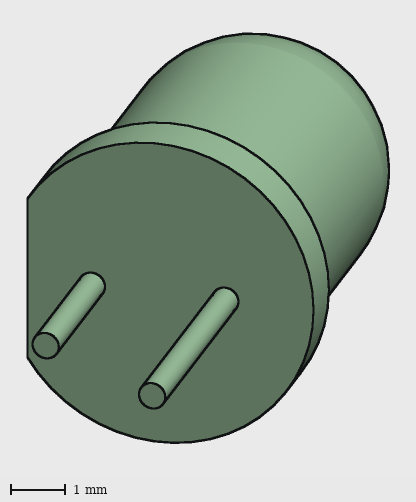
import cadquery as cq


BODY_RADIUS = 2.5
BODY_LENGTH = 5.1

FLANGE_RADIUS = 2.95
FLANGE_THICKNESS = 1.0
FLAT_X = -BODY_RADIUS

LEAD_PITCH = 2.54
LEAD_RADIUS = 0.25
SHORT_LEAD_LENGTH = 3.0
LONG_LEAD_LENGTH = 4.75


def make_lens():
    """Revolve the domed half profile about the Y axis."""
    dome_base = FLANGE_THICKNESS + BODY_LENGTH
    dome_tip = dome_base + BODY_RADIUS
    return (
        cq.Workplane("XY")
        .lineTo(BODY_RADIUS, 0)
        .lineTo(BODY_RADIUS, dome_base)
        .radiusArc((0, dome_tip), -BODY_RADIUS)
        .close()
        .revolve(360, (0, 0), (0, 1))
    )


def make_flange():
    """Disc cut straight along its -X side."""
    disc = cq.Workplane("XZ").circle(FLANGE_RADIUS).extrude(-FLANGE_THICKNESS)
    flange_width = 2 * FLANGE_RADIUS
    keep = cq.Workplane("XY").box(
        flange_width, flange_width, flange_width, centered=(False, True, True)
    ).translate((FLAT_X, 0, 0))
    return disc.intersect(keep)


def make_lead(x, length):
    """Round lead running from the flange underside toward -Y."""
    return cq.Workplane("XZ").center(x, 0).circle(LEAD_RADIUS).extrude(length)


result = make_lens().union(make_flange())
for lead_x, lead_length in (
    (-LEAD_PITCH / 2, SHORT_LEAD_LENGTH),
    (LEAD_PITCH / 2, LONG_LEAD_LENGTH),
):
    result = result.union(make_lead(lead_x, lead_length))